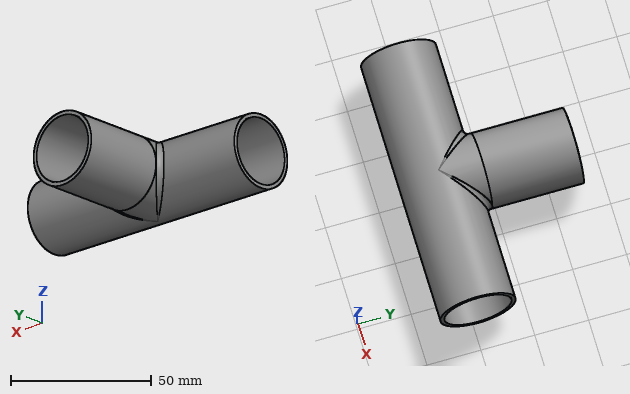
import cadquery as cq
import math

outer_diameter = 28.0
bore_diameter = 25.0
run_length = 100.0
branch_reach = 50.0
crotch_radius = 2.0

outer_radius = outer_diameter / 2
bore_radius = bore_diameter / 2
collar_reach = outer_radius + crotch_radius

ball_height = outer_radius + crotch_radius
ball_reach = math.sqrt(2) * ball_height


def run_cylinder(radius):
    """Cylinder along X, centred on the origin."""
    return cq.Workplane("YZ").circle(radius).extrude(run_length / 2, both=True)


def branch_cylinder(radius, start, end):
    """Cylinder along +Y between two distances from the run axis."""
    return cq.Workplane("XZ", origin=(0, start, 0)).circle(radius).extrude(start - end)


def make_wedge(side):
    """Upright wedge from the Z axis whose two faces hold the tangent lines of the fillet."""
    tangent_slope = outer_radius / (outer_radius + crotch_radius)
    wedge_reach = 2 * ball_height
    return (
        cq.Workplane("XY")
        .polyline([
            (0, 0),
            (side * wedge_reach, wedge_reach * tangent_slope),
            (side * wedge_reach, wedge_reach),
            (side * wedge_reach * tangent_slope, wedge_reach),
        ])
        .close()
        .extrude(ball_height, both=True)
    )


def make_crotch(side):
    """Filleted corner that fills the wedge, at +X (side = 1) or -X (side = -1)."""
    corner_plane = cq.Plane(origin=(0, 0, 0), xDir=(side, 1, 0), normal=(1, -side, 0))

    ball_path = cq.Workplane(corner_plane).ellipse(ball_reach, ball_height)
    path_start = (-side * ball_height, -ball_height, 0)
    start_plane = cq.Plane(origin=path_start, xDir=(1, -side, 0), normal=(0, 0, 1))
    ball_tube = cq.Workplane(start_plane).circle(crotch_radius).sweep(ball_path)

    filler = (
        cq.Workplane(corner_plane)
        .ellipse(ball_reach, outer_radius)
        .extrude(ball_height, both=True)
        .intersect(make_wedge(side))
    )
    return filler.cut(ball_tube)


def make_tee():
    """Run pipe with a short collar, a fillet in both crotches and crossing bores."""
    tee_body = run_cylinder(outer_radius).union(branch_cylinder(outer_radius, 0, collar_reach))
    sides = (-1, 1)
    for side in sides:
        tee_body = tee_body.cut(make_wedge(side))
    for side in sides:
        tee_body = tee_body.union(make_crotch(side))
    bores = run_cylinder(bore_radius).union(branch_cylinder(bore_radius, 0, collar_reach))
    return tee_body.cut(bores)


def make_branch_pipe():
    """Straight pipe that butts against the end of the collar."""
    pipe = branch_cylinder(outer_radius, collar_reach, branch_reach)
    return pipe.cut(branch_cylinder(bore_radius, collar_reach, branch_reach))


tee = make_tee()
branch_pipe = make_branch_pipe()

result = cq.Compound.makeCompound([tee.val(), branch_pipe.val()])